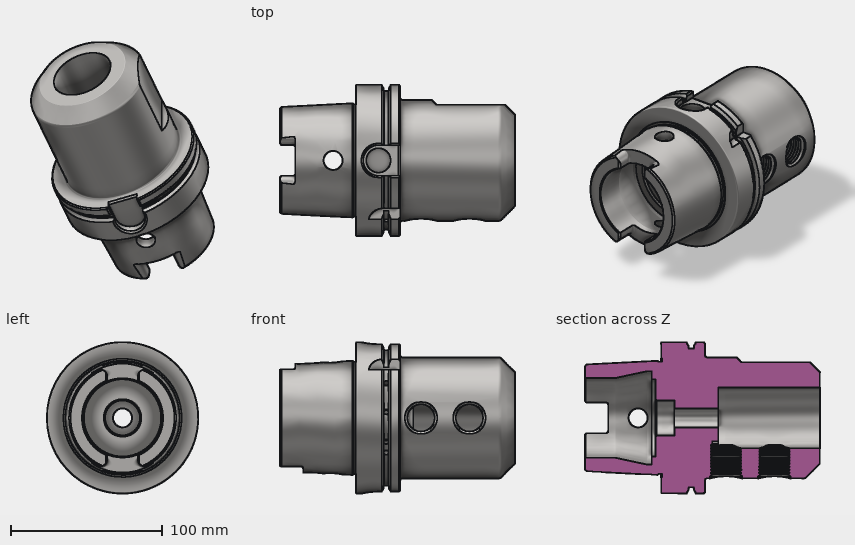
import cadquery as cq

total_length = 155
flange_start = 50.0
flange_end = 79.2
flange_radius = 49.99
flange_front_fillet = 1.0
flange_back_chamfer = 1.0
body_radius = 40.0
body_root_fillet = 1.5
nose_radius = 30.2
nose_chamfer = body_radius - nose_radius
nose_blend = 2.6
nose_edge_fillet = 0.6

shank_tip_radius = 35.3
taper_slope = 1 / 20
taper_end = 47.7
relief_start = 48.7
relief_depth = 0.6
face_recess_radius = 39.0
face_recess_depth = 0.6
tip_chamfer = 1.1

mouth_radius = 26.2
mouth_chamfer = 0.6
mouth_end = 20.0
chamber_radius = 30.7
chamber_start = 40.9
chamber_end = 44.0
floor_radius = 25.4
cavity_depth = 46.5
tube_seat_radius = 11.5
tube_seat_chamfer = 1.0
tube_seat_end = 58.9
coolant_radius = 6.2
cross_hole_x = 35.0
cross_hole_radius = 6.2

drive_half_width = 10.0
drive_ledge = 32.1
drive_corner_radius = 5.0
drive_floor_fillet = 1.4
drive_depth_top = 10.0
drive_depth_bottom = 15.2

groove_x = 70.0
groove_floor_radius = 45.9
groove_floor_fillet = 0.5
groove_wall_radius = 47.5
groove_floor_half = 1.7
groove_rim_half = 3.1
groove_hole_radius = 1.7
groove_hole_depth = 6.2
groove_hole_angles = (30, 5, -20, -30)

slot_cutter_radius = 10.0

keyway_x = 65.0
keyway_floor = 44.0
keyway_chamfer = 1.2
pocket_radius = 8.0
pocket_depth = 5.6

notch_x = 68.0
notch_offset = 31.6

tool_bore_radius = 20.0
tool_bore_start = 88.0
screw_from_end = (62, 30.0)
thread_root_radius = 10.0
thread_crest_radius = 9.0
thread_pitch = 2.0
screw_mouth_radius = 10.7
screw_mouth_depth = 2.8
screw_mouth_taper = 1.5
screw_floor_y = -15.5
flat_y = 36.7
flat_ramp_x = 100.0

body_start = flange_start + face_recess_depth

margin = 15.5
clearance = 1.5


def turned(points):
    """Solid of revolution about X from (x, radius) points; the axis closes the outline."""
    return ring([(points[0][0], 0), *points, (points[-1][0], 0)])


def ring(points):
    """Ring turned about X from a closed outline of (x, radius) points."""
    return cq.Workplane("XY").polyline(points).close().revolve(360, (0, 0, 0), (1, 0, 0))


def rod(radius, start, end):
    """Cylinder on the X axis between two x places."""
    return turned([(start, radius), (end, radius)])


def shank():
    taper_end_radius = shank_tip_radius + taper_slope * taper_end
    relief_radius = taper_end_radius - relief_depth
    relief_floor = flange_start + face_recess_depth
    outer = turned([
        (0, shank_tip_radius - tip_chamfer),
        (tip_chamfer, shank_tip_radius),
        (taper_end, taper_end_radius),
        (relief_start, relief_radius),
        (relief_floor, relief_radius),
    ])
    cavity = turned([
        (0, mouth_radius + mouth_chamfer),
        (mouth_chamfer, mouth_radius),
        (mouth_end, mouth_radius),
        (chamber_start, chamber_radius),
        (chamber_end, chamber_radius),
        (chamber_end, floor_radius),
        (cavity_depth, floor_radius),
    ])
    hollow = outer.cut(cavity)
    hollow = hollow.cut(drive_slot(drive_depth_top))
    hollow = hollow.cut(drive_slot(drive_depth_bottom).rotate((0, 0, 0), (1, 0, 0), 180))
    cross_hole = cq.Workplane("XY").center(cross_hole_x, 0).circle(cross_hole_radius)
    return hollow.cut(cross_hole.extrude(shank_tip_radius + margin, both=True))


def drive_slot(depth):
    """Cutter for one driving slot: a slot that opens into a wide ledge through round corners,
    with a rounded floor edge and chamfered side walls at its mouth."""
    wide = shank_tip_radius
    top = shank_tip_radius + margin
    shoulder_y = drive_half_width + drive_corner_radius
    shoulder_z = drive_ledge - drive_corner_radius
    outline = (
        cq.Workplane("YZ")
        .moveTo(-drive_half_width, 0)
        .lineTo(drive_half_width, 0)
        .lineTo(drive_half_width, shoulder_z)
        .tangentArcPoint((shoulder_y, drive_ledge), relative=False)
        .lineTo(wide, drive_ledge)
        .lineTo(wide, top)
        .lineTo(-wide, top)
        .lineTo(-wide, drive_ledge)
        .lineTo(-shoulder_y, drive_ledge)
        .tangentArcPoint((-drive_half_width, shoulder_z), relative=False)
        .close()
    )
    slot = outline.extrude(depth).faces(">X").edges().fillet(drive_floor_fillet)
    flare_outline = [
        (0, -drive_half_width - tip_chamfer),
        (0, drive_half_width + tip_chamfer),
        (tip_chamfer, drive_half_width),
        (tip_chamfer, -drive_half_width),
    ]
    flare = cq.Workplane("XY").polyline(flare_outline).close().extrude(drive_ledge)
    return slot.union(flare)


def milled_slot(end_x, center_y, floor_z):
    """Cutter for a flat-floored slot that is round at its closed end and runs out of the flange."""
    floor = cq.Workplane("XY").workplane(offset=floor_z)
    height = flange_radius + margin - floor_z
    run_out = flange_end + margin - end_x
    end = floor.center(end_x, center_y).circle(slot_cutter_radius).extrude(height)
    straight = floor.center(end_x + run_out / 2, center_y)
    return end.union(straight.rect(run_out, 2 * slot_cutter_radius).extrude(height))


def flange():
    disc = rod(flange_radius, flange_start, flange_end)
    disc = disc.faces("<X").edges().fillet(flange_front_fillet)
    keyway = milled_slot(keyway_x, 0, keyway_floor)
    side = 2 * slot_cutter_radius
    for turn in (0, 180):
        disc = disc.cut(keyway.rotate((0, 0, 0), (1, 0, 0), turn))
    front = flange_start + clearance
    back = flange_end - clearance
    rim_base = keyway_floor + clearance
    for low, high in ((rim_base, flange_radius), (-flange_radius, -rim_base)):
        rim = cq.selectors.BoxSelector((front, -side, low), (back, side, high))
        disc = disc.edges(rim).chamfer(keyway_chamfer)
    for height in (keyway_floor, -keyway_floor):
        floor_end = cq.selectors.NearestToPointSelector((flange_end, 0, height))
        disc = disc.edges(floor_end).chamfer(keyway_chamfer)
    notch = milled_slot(notch_x, -notch_offset - slot_cutter_radius, notch_offset)
    return disc.cut(groove()).cut(notch).cut(flange_back_edge()).cut(face_recess())


def groove():
    outside = flange_radius + clearance
    cutter = ring([
        (groove_x - groove_rim_half, outside),
        (groove_x - groove_rim_half, flange_radius),
        (groove_x - groove_floor_half, groove_wall_radius),
        (groove_x - groove_floor_half, groove_floor_radius),
        (groove_x + groove_floor_half, groove_floor_radius),
        (groove_x + groove_floor_half, groove_wall_radius),
        (groove_x + groove_rim_half, flange_radius),
        (groove_x + groove_rim_half, outside),
    ])
    floor = cq.selectors.RadiusNthSelector(0)
    return cutter.edges(floor).fillet(groove_floor_fillet)


def flange_back_edge():
    """Ring that chamfers the outer edge on the back of the flange."""
    return ring([
        (flange_end - flange_back_chamfer, flange_radius),
        (flange_end - flange_back_chamfer, flange_radius + clearance),
        (flange_end + clearance, flange_radius + clearance),
        (flange_end + clearance, flange_radius - flange_back_chamfer),
        (flange_end, flange_radius - flange_back_chamfer),
    ])


def face_recess():
    """Shallow round recess in the flange face around the shank root."""
    return rod(face_recess_radius, flange_start, flange_start + face_recess_depth)


def body():
    """Body from inside the flange to the nose, with the fillet at the flange and the chamfered nose."""
    barrel = (
        cq.Workplane("XY")
        .moveTo(body_start, 0)
        .lineTo(body_start, body_radius + body_root_fillet)
        .lineTo(flange_end, body_radius + body_root_fillet)
        .radiusArc((flange_end + body_root_fillet, body_radius), -body_root_fillet)
        .lineTo(total_length - nose_chamfer, body_radius)
        .lineTo(total_length, nose_radius)
        .lineTo(total_length, 0)
        .close()
        .revolve(360, (0, 0, 0), (1, 0, 0))
    )
    shoulder = cq.selectors.NearestToPointSelector((total_length - nose_chamfer, 0, 0))
    return barrel.edges(shoulder).fillet(nose_blend).faces(">X").edges().fillet(nose_edge_fillet)


def side_flat():
    """Cutter for the flat on the +Y side, entered by a 45 degree ramp."""
    outside = body_radius + margin
    outline = [
        (flat_ramp_x + body_radius - flat_y, flat_y),
        (total_length + margin, flat_y),
        (total_length + margin, outside),
        (flat_ramp_x + body_radius - outside, outside),
    ]
    return cq.Workplane("XY").polyline(outline).close().extrude(body_radius, both=True)


def coolant_and_tool_bores():
    seat = turned([
        (cavity_depth, tube_seat_radius + tube_seat_chamfer),
        (cavity_depth + tube_seat_chamfer, tube_seat_radius),
        (tube_seat_end, tube_seat_radius),
    ])
    coolant = rod(coolant_radius, cavity_depth, tool_bore_start)
    tool_bore = rod(tool_bore_radius, tool_bore_start, total_length)
    return seat.union(coolant).union(tool_bore)


def keyway_pocket():
    pocket = cq.Workplane("XY").workplane(offset=keyway_floor).center(keyway_x, 0)
    return pocket.circle(pocket_radius).extrude(-pocket_depth)


def groove_hole(angle):
    """Radial hole in the groove floor, raised by an angle from the -Y direction toward +Z."""
    bottom = groove_floor_radius - groove_hole_depth
    hole = cq.Workplane("XZ").workplane(offset=bottom).center(groove_x, 0)
    hole = hole.circle(groove_hole_radius).extrude(groove_hole_depth + clearance)
    return hole.rotate((0, 0, 0), (1, 0, 0), -angle)


def screw_hole(x):
    """Cutter for a threaded hole along Y, with ring grooves of the thread pitch."""
    mouth_y = -body_radius + screw_mouth_depth
    turns = int((screw_floor_y - mouth_y) / thread_pitch)
    outline = [(0, -body_radius - margin), (screw_mouth_radius, -body_radius - margin)]
    outline += [(screw_mouth_radius, mouth_y - screw_mouth_taper), (thread_crest_radius, mouth_y)]
    for turn in range(turns):
        start_y = mouth_y + turn * thread_pitch
        outline.append((thread_root_radius, start_y + thread_pitch / 2))
        outline.append((thread_crest_radius, start_y + thread_pitch))
    outline += [(thread_crest_radius, screw_floor_y), (0, screw_floor_y)]
    cutter = cq.Workplane("XY").polyline(outline).close().revolve(360, (0, 0, 0), (0, 1, 0))
    return cutter.translate((x, 0, 0))


holder = flange().union(body()).union(shank())
holder = holder.cut(coolant_and_tool_bores()).cut(side_flat()).cut(keyway_pocket())
for angle in groove_hole_angles:
    holder = holder.cut(groove_hole(angle))
for distance in screw_from_end:
    holder = holder.cut(screw_hole(total_length - distance))

result = holder